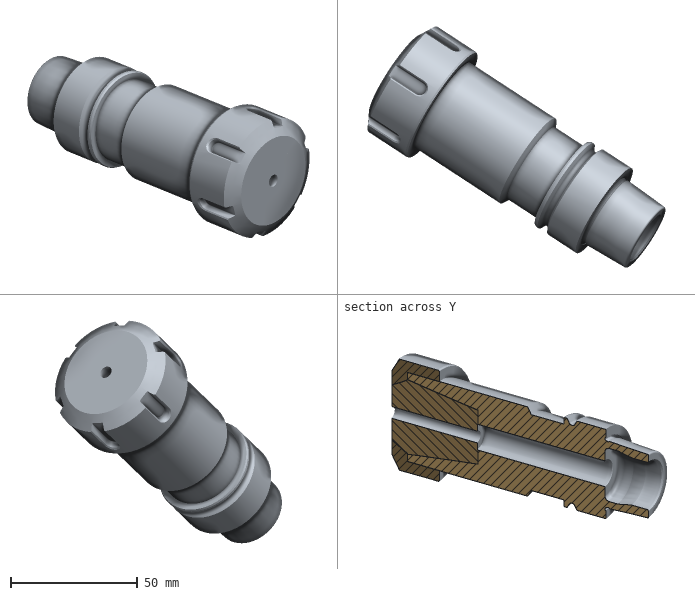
import cadquery as cq
import math


TOTAL_LENGTH = 119.9
BODY_RADIUS = 20.0
FULL_TURN = 360
SELECTION_MARGIN = 0.01
TAN_30 = math.tan(math.radians(30))

SHANK_TIP_RADIUS = 14.3
SHANK_RADIUS = 15.1
SHANK_TAPER_END = 17.7
SHANK_EDGE_FILLET = 0.7
RELIEF_START = 18.5
RELIEF_FLOOR_START = 18.8
RELIEF_END = 19.2
RELIEF_RADIUS = 14.7

FLANGE_FACE = 19.9
FACE_RECESS_DEPTH = 0.4
FACE_RECESS_INNER_RADIUS = 15.2
FACE_RECESS_OUTER_RADIUS = 16.2
FLANGE_END = 39.8
FLANGE_END_CHAMFER_LENGTH = 0.7
FLANGE_END_CHAMFER_DEPTH = 0.4
GROOVE_CENTER = 35.9
GROOVE_RADIUS = 17.5
GROOVE_FLOOR_HALF_WIDTH = 0.8
GROOVE_FILLET = 0.8

NECK_RADIUS = 17.0
BARREL_START = 56.5

MOUTH_RADIUS = 10.4
MOUTH_CHAMFER = 0.6
MOUTH_LENGTH = 7.9
CAVITY_RADIUS = 11.8
CAVITY_CONE_END = 14.4
CAVITY_FLOOR = 20.4
CAVITY_FLOOR_FILLET = 1.8

BORE_RADIUS = 5.6
BORE_CHAMFER = 0.2

COLLET_REAR = 79.9
COLLET_RADIUS = 16.5
COLLET_TAPER_ANGLE = 8.0
COLLET_HOLE_RADIUS = 2.5
HOLDER_END = 112.7

NUT_DIAMETER = 49.8
NUT_START = 97.4
NUT_REAR_CHAMFER_LENGTH = 0.7
NUT_REAR_CHAMFER_DEPTH = 0.4
NUT_NOSE_LENGTH = 3.6

SLOT_COUNT = 6
SLOT_FIRST_ANGLE = 13.0
SLOT_HALF_WIDTH = 2.5
SLOT_END_CENTER = 104.7
SLOT_DRAFT = 8.0
SLOT_FLOOR_RADIUS = 21.7
SLOT_FLOOR_FILLET = 0.2
SLOT_CHAMFER_START_RADIUS = 24.2
SLOT_CHAMFER_HEIGHT = 1.8
SLOT_CHAMFER_ANGLE = 45

GROOVE_TOP_HALF_WIDTH = GROOVE_FLOOR_HALF_WIDTH + (BODY_RADIUS - GROOVE_RADIUS) * TAN_30
NECK_END = BARREL_START - (BODY_RADIUS - NECK_RADIUS) * TAN_30
COLLET_SLOPE = math.tan(math.radians(COLLET_TAPER_ANGLE))
COLLET_REAR_RADIUS = COLLET_RADIUS - (HOLDER_END - COLLET_REAR) * COLLET_SLOPE
COLLET_FRONT_RADIUS = COLLET_RADIUS - (TOTAL_LENGTH - HOLDER_END) * TAN_30
NUT_RADIUS = NUT_DIAMETER / 2
NUT_NOSE_START = TOTAL_LENGTH - NUT_NOSE_LENGTH
NUT_FACE_RADIUS = NUT_RADIUS - NUT_NOSE_LENGTH / TAN_30


def revolve_about_x(points):
    """Turn a closed outline of (x, radius) points about the X axis."""
    return cq.Workplane("XY").polyline(points).close().revolve(FULL_TURN, (0, 0, 0), (1, 0, 0))


def ring_edges(body, x, radius):
    """Select the circular edge centred on the X axis at x with the given radius."""

    def edges_within(limit):
        low_corner = (x - SELECTION_MARGIN, -limit, -limit)
        high_corner = (x + SELECTION_MARGIN, limit, limit)
        return cq.selectors.BoxSelector(low_corner, high_corner, boundingbox=True)

    return body.edges(edges_within(radius + SELECTION_MARGIN) - edges_within(radius - SELECTION_MARGIN))


def make_holder_outside():
    body = revolve_about_x([
        (0, 0),
        (0, SHANK_TIP_RADIUS),
        (SHANK_TAPER_END, SHANK_RADIUS),
        (RELIEF_START, SHANK_RADIUS),
        (RELIEF_FLOOR_START, RELIEF_RADIUS),
        (RELIEF_END, RELIEF_RADIUS),
        (FLANGE_FACE + FACE_RECESS_DEPTH, FACE_RECESS_INNER_RADIUS),
        (FLANGE_FACE + FACE_RECESS_DEPTH, FACE_RECESS_OUTER_RADIUS),
        (FLANGE_FACE, FACE_RECESS_OUTER_RADIUS),
        (FLANGE_FACE, BODY_RADIUS),
        (GROOVE_CENTER - GROOVE_TOP_HALF_WIDTH, BODY_RADIUS),
        (GROOVE_CENTER - GROOVE_FLOOR_HALF_WIDTH, GROOVE_RADIUS),
        (GROOVE_CENTER + GROOVE_FLOOR_HALF_WIDTH, GROOVE_RADIUS),
        (GROOVE_CENTER + GROOVE_TOP_HALF_WIDTH, BODY_RADIUS),
        (FLANGE_END - FLANGE_END_CHAMFER_LENGTH, BODY_RADIUS),
        (FLANGE_END, BODY_RADIUS - FLANGE_END_CHAMFER_DEPTH),
        (FLANGE_END, NECK_RADIUS),
        (NECK_END, NECK_RADIUS),
        (BARREL_START, BODY_RADIUS),
        (HOLDER_END, BODY_RADIUS),
        (HOLDER_END, 0),
    ])
    body = ring_edges(body, 0, SHANK_TIP_RADIUS).fillet(SHANK_EDGE_FILLET)
    for side in (-1, 1):
        groove_corner = GROOVE_CENTER + side * GROOVE_FLOOR_HALF_WIDTH
        body = ring_edges(body, groove_corner, GROOVE_RADIUS).fillet(GROOVE_FILLET)
    return body


def make_clamping_cavity():
    cavity = revolve_about_x([
        (0, 0),
        (0, MOUTH_RADIUS + MOUTH_CHAMFER),
        (MOUTH_CHAMFER, MOUTH_RADIUS),
        (MOUTH_LENGTH, MOUTH_RADIUS),
        (CAVITY_CONE_END, CAVITY_RADIUS),
        (CAVITY_FLOOR, CAVITY_RADIUS),
        (CAVITY_FLOOR, 0),
    ])
    return ring_edges(cavity, CAVITY_FLOOR, CAVITY_RADIUS).fillet(CAVITY_FLOOR_FILLET)


def make_bore():
    return revolve_about_x([
        (CAVITY_FLOOR, 0),
        (CAVITY_FLOOR, BORE_RADIUS + BORE_CHAMFER),
        (CAVITY_FLOOR + BORE_CHAMFER, BORE_RADIUS),
        (COLLET_REAR, BORE_RADIUS),
        (COLLET_REAR, 0),
    ])


def make_collet_envelope():
    """Solid double cone of the collet, also used to cut its seats in the holder and the nut."""
    return revolve_about_x([
        (COLLET_REAR, 0),
        (COLLET_REAR, COLLET_REAR_RADIUS),
        (HOLDER_END, COLLET_RADIUS),
        (TOTAL_LENGTH, COLLET_FRONT_RADIUS),
        (TOTAL_LENGTH, 0),
    ])


def make_holder():
    return make_holder_outside().cut(make_clamping_cavity()).cut(make_bore()).cut(make_collet_envelope())


def make_collet():
    hole = cq.Workplane("YZ").circle(COLLET_HOLE_RADIUS).extrude(TOTAL_LENGTH)
    return make_collet_envelope().cut(hole)


def slot_outline(radius, half_width):
    """Round-ended slot, running past the front of the nut, on a plane at the given distance from the X axis."""
    rear = SLOT_END_CENTER - half_width
    front = TOTAL_LENGTH + 2 * half_width
    return (
        cq.Workplane("XY", origin=((rear + front) / 2, 0, radius))
        .slot2D(front - rear, 2 * half_width)
    )


def make_slot_cutter():
    """Slot along the top of the nut: drafted walls, a rounded floor edge and a chamfered rim."""
    depth = SLOT_CHAMFER_START_RADIUS - SLOT_FLOOR_RADIUS
    rim_half_width = SLOT_HALF_WIDTH + depth * math.tan(math.radians(SLOT_DRAFT))
    trough = slot_outline(SLOT_FLOOR_RADIUS, SLOT_HALF_WIDTH).extrude(depth, taper=-SLOT_DRAFT)
    trough = trough.edges("<Z").fillet(SLOT_FLOOR_FILLET)
    rim = slot_outline(SLOT_CHAMFER_START_RADIUS, rim_half_width)
    rim = rim.extrude(SLOT_CHAMFER_HEIGHT, taper=-SLOT_CHAMFER_ANGLE)
    return trough.union(rim)


def make_nut():
    nut = revolve_about_x([
        (NUT_START, 0),
        (NUT_START, NUT_RADIUS - NUT_REAR_CHAMFER_DEPTH),
        (NUT_START + NUT_REAR_CHAMFER_LENGTH, NUT_RADIUS),
        (NUT_NOSE_START, NUT_RADIUS),
        (TOTAL_LENGTH, NUT_FACE_RADIUS),
        (TOTAL_LENGTH, 0),
    ])
    holder_seat = cq.Workplane("YZ").circle(BODY_RADIUS).extrude(HOLDER_END)
    nut = nut.cut(holder_seat).cut(make_collet_envelope())
    slot = make_slot_cutter()
    for index in range(SLOT_COUNT):
        angle = SLOT_FIRST_ANGLE + index * FULL_TURN / SLOT_COUNT
        nut = nut.cut(slot.rotate((0, 0, 0), (1, 0, 0), -angle))
    return nut


holder = make_holder()
collet = make_collet()
nut = make_nut()

result = cq.Compound.makeCompound([holder.val(), collet.val(), nut.val()])